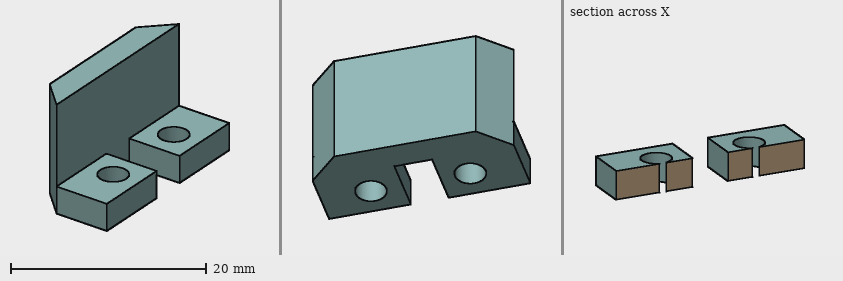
import cadquery as cq

thickness = 3.175
depth = 3 * thickness
width = 21.4
height = 4 * thickness
slot_width = 4.0
hole_diameter = 3.26
hole_spacing = 10.56
hole_offset = 0.09

foot_length = depth - thickness
foot_center_x = thickness + foot_length / 2


def make_wall():
    """Upright wall whose outer vertical edges are bevelled across its full thickness."""
    half_width = width / 2
    half_face = half_width - thickness
    outline = [
        (0, -half_face),
        (thickness, -half_width),
        (thickness, half_width),
        (0, half_face),
    ]
    return cq.Workplane("XY").polyline(outline).close().extrude(height)


def make_feet():
    """Base plate split into two feet by a slot, with one through hole in each foot."""
    plate = (
        cq.Workplane("XY")
        .center(foot_center_x, 0)
        .box(foot_length, width, thickness, centered=(True, True, False))
    )
    slot = (
        cq.Workplane("XY")
        .center(foot_center_x, 0)
        .box(foot_length, slot_width, thickness, centered=(True, True, False))
    )
    holes = (
        cq.Workplane("XY")
        .pushPoints([(foot_center_x, hole_offset + side * hole_spacing / 2) for side in (-1, 1)])
        .circle(hole_diameter / 2)
        .extrude(thickness)
    )
    return plate.cut(slot).cut(holes)


result = make_wall().union(make_feet())